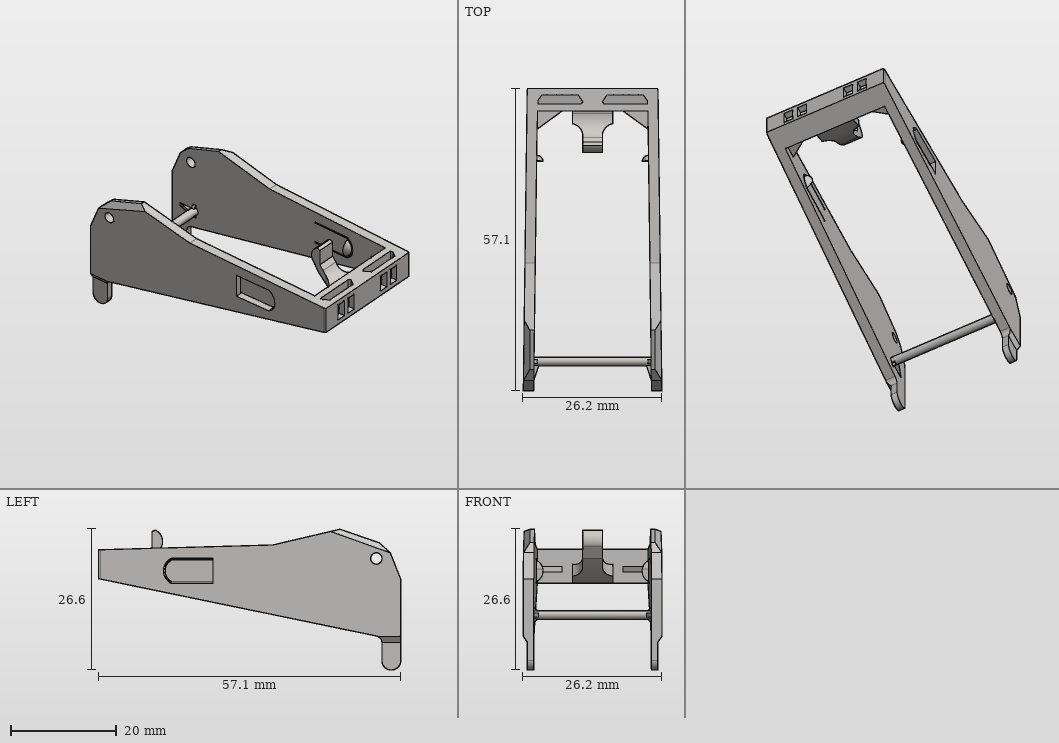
import cadquery as cq
import math


LENGTH = 57.1
FRONT_WIDTH = 26.2
REAR_WIDTH = 24.7
WALL = 2.0
REAR_WALL = 4.3
CORNER_BEVEL_Y = 0.4
CORNER_BEVEL_X = 0.1

TOP_REAR_Z = 22.7
SHOULDER = (24.15, 23.65)
PEAK = (11.5, 26.6)
BROW = (4.05, 24.05)
CHEEK = (2.0, 22.15)
CHIN = (0.0, 17.2)
BOTTOM_REAR_Z = 17.25
ARM_BOTTOM_Z = 6.4
ARM_BOTTOM_Y = 4.5

FOOT_DEPTH = 3.6
FOOT_ANKLE_Z = 5.25
FOOT_OUTER_X = 12.35
HEEL_ARC_MID = (3.9, 6.0)

BEVEL_EDGE_X = 11.8
BEVEL_WIDTH = 1.15
BEVEL_DROP = 1.0
BEVEL_WEDGE_SCALE = 3

HOLE_DIAMETER = 2.1
HOLE_Y = 4.6
HOLE_Z = 21.05

WINDOW_FRONT_Y = 35.45
WINDOW_ARC_Y = 43.3
WINDOW_TIP_Y = 44.75
WINDOW_Z = 18.75
WINDOW_HEIGHT = 4.75
TONGUE_GAP = 0.255
TONGUE_THICKNESS = 0.8
BUMP_HALF_HEIGHT = 2.0
BUMP_REACH = 1.2
BUMP_RIDGE_RISE = 0.4
BUMP_FACE_TILT = 8.0

POCKET_FRONT_Y = 54.2
POCKET_REAR_Y = 55.85
POCKET_OUTLINE = [
    (2.15, POCKET_FRONT_Y),
    (10.35, POCKET_FRONT_Y),
    (10.35, 54.75),
    (9.6, POCKET_REAR_Y),
    (2.7, POCKET_REAR_Y),
    (1.8, 54.55),
]
POCKET_FLOOR = 1.0
PORT_WIDTH = 1.8
PORT_PITCH = 2.9
PORT_CENTRE_X = 6.3
PORT_BOTTOM_Z = 18.3
PORT_TOP_Z = 21.65

HOOK_BASE_HALF_WIDTH = 3.8
HOOK_TIP_HALF_WIDTH = 1.9
HOOK_NECK_RADIUS = 2.4
HOOK_NECK_Y = 48.5
HOOK_BASE_Y = 50.4

HOOK_BELLY_MID = (50.5, 17.7)
HOOK_BELLY_END = (46.65, 21.05)
HOOK_NOSE_START = (45.1, 23.4)
HOOK_NOSE_MID = (45.05, 24.95)
HOOK_APEX = (46.3, 26.45)
HOOK_BACK_TOP = (47.0, 26.15)
HOOK_BACK_BOTTOM = (47.0, 22.9)
HOOK_HOLLOW_START = (47.8, 21.9)
HOOK_HOLLOW_MID = (50.5, 19.85)
HOOK_HOLLOW_END = (52.35, 19.7)
HOOK_FILLET_MID = (52.7, 19.8)
HOOK_WALL_TOP_Z = 20.05

ROD_DIAMETER = 1.7
ROD_Y = 5.55
ROD_Z = 10.4
RIB_THICKNESS = 0.7
FRONT_RIB_REACH = 0.85
FRONT_RIB_TIP_Y = 1.95
SIDE_RIB_SIZE = 0.55

GUSSET_BOTTOM_Z = 18.55
GUSSET_THICKNESS = 0.95
GUSSET_X_LEG = 4.7
GUSSET_Y_LEG = 3.4

OVERSIZE = 34.25
OVERLAP = 0.55

SIDES = (-1, 1)
TAPER = (FRONT_WIDTH - REAR_WIDTH) / 2 / LENGTH
BOTTOM_SLOPE = (BOTTOM_REAR_Z - ARM_BOTTOM_Z) / (LENGTH - ARM_BOTTOM_Y)
REAR_FACE_Y = LENGTH - REAR_WALL


def outer_x(y):
    return FRONT_WIDTH / 2 - TAPER * y


def inner_x(y):
    return outer_x(y) - WALL


def bottom_z(y):
    return ARM_BOTTOM_Z + BOTTOM_SLOPE * (y - ARM_BOTTOM_Y)


def mirrored(shape):
    return shape.mirror("YZ")


def prism_x(outline, x_from, x_to):
    """Extrude a closed (Y, Z) outline along X."""
    return outline.extrude(x_to - x_from).translate((x_from, 0, 0))


def plan_ring():
    bevel_y = LENGTH - CORNER_BEVEL_Y
    half = [
        (inner_x(REAR_FACE_Y), REAR_FACE_Y),
        (inner_x(0), 0),
        (outer_x(0), 0),
        (outer_x(bevel_y), bevel_y),
        (outer_x(LENGTH) - CORNER_BEVEL_X, LENGTH),
    ]
    other_half = [(-x, y) for x, y in reversed(half)]
    return cq.Workplane("XY").polyline(half + other_half).close().extrude(OVERSIZE)


def side_silhouette():
    foot_radius = FOOT_DEPTH / 2
    outline = (
        cq.Workplane("YZ")
        .moveTo(LENGTH, BOTTOM_REAR_Z)
        .lineTo(LENGTH, TOP_REAR_Z)
        .lineTo(*SHOULDER)
        .lineTo(*PEAK)
        .lineTo(*BROW)
        .lineTo(*CHEEK)
        .lineTo(*CHIN)
        .lineTo(0, foot_radius)
        .threePointArc((foot_radius, 0), (FOOT_DEPTH, foot_radius))
        .lineTo(FOOT_DEPTH, FOOT_ANKLE_Z)
        .threePointArc(HEEL_ARC_MID, (ARM_BOTTOM_Y, ARM_BOTTOM_Z))
        .close()
    )
    return prism_x(outline, -OVERSIZE, OVERSIZE)


def foot_relief():
    """Material outside the right foot, ending upwards in a slope."""
    points = [
        (OVERSIZE, ARM_BOTTOM_Z),
        (outer_x(0), ARM_BOTTOM_Z),
        (FOOT_OUTER_X, FOOT_ANKLE_Z),
        (FOOT_OUTER_X, -OVERLAP),
        (OVERSIZE, -OVERLAP),
    ]
    return cq.Workplane("XZ").polyline(points).close().extrude(-ARM_BOTTOM_Y - OVERLAP)


def top_bevel():
    """Wedge along the line from brow to peak that bevels the right arm's outer edge."""
    along = cq.Vector(0, BROW[0] - PEAK[0], BROW[1] - PEAK[1])
    plane = cq.Plane(origin=(BEVEL_EDGE_X, *BROW), xDir=(1, 0, 0), normal=along)
    reach_x = BEVEL_WEDGE_SCALE * BEVEL_WIDTH
    reach_z = BEVEL_WEDGE_SCALE * BEVEL_DROP
    points = [(-reach_x, reach_z), (reach_x, -reach_z), (reach_x, reach_z)]
    return cq.Workplane(plane).polyline(points).close().extrude(OVERSIZE, both=True)


def tongue_outline(gap):
    half_height = WINDOW_HEIGHT / 2 - gap
    return (
        cq.Workplane("YZ")
        .moveTo(WINDOW_FRONT_Y, WINDOW_Z - half_height)
        .lineTo(WINDOW_ARC_Y, WINDOW_Z - half_height)
        .threePointArc((WINDOW_TIP_Y - gap, WINDOW_Z), (WINDOW_ARC_Y, WINDOW_Z + half_height))
        .lineTo(WINDOW_FRONT_Y, WINDOW_Z + half_height)
        .close()
    )


def tongue_recess():
    """Window in the right arm, cut from outside down to the tongue's outer face."""
    y_ends = (WINDOW_FRONT_Y - OVERLAP, WINDOW_TIP_Y + OVERLAP)
    inner_edge = [(inner_x(y) + TONGUE_THICKNESS, y) for y in y_ends]
    outer_edge = [(OVERSIZE, y) for y in reversed(y_ends)]
    outside = cq.Workplane("XY").polyline(inner_edge + outer_edge).close().extrude(OVERSIZE)
    return prism_x(tongue_outline(0), 0, OVERSIZE).intersect(outside)


def tongue_slot():
    """Narrow slot through the right arm, around the tongue's free sides."""
    tongue = prism_x(tongue_outline(TONGUE_GAP), 0, OVERSIZE)
    return prism_x(tongue_outline(0), 0, OVERSIZE).cut(tongue)


def latch_bump():
    """Lens-shaped bump on the right tongue: an arc segment swept about its chord, flat in front.

    Above the ridge the flat front leans back towards +Y.
    """
    lens = (
        cq.Workplane("XZ")
        .moveTo(0, -BUMP_HALF_HEIGHT)
        .threePointArc((-BUMP_REACH, 0), (0, BUMP_HALF_HEIGHT))
        .close()
        .revolve(360, (0, 0, 0), (0, 1, 0))
    )
    face = (
        cq.Workplane("YZ")
        .moveTo(0, -OVERSIZE)
        .lineTo(0, BUMP_RIDGE_RISE)
        .lineTo(OVERSIZE * math.tan(math.radians(BUMP_FACE_TILT)), BUMP_RIDGE_RISE + OVERSIZE)
        .lineTo(OVERSIZE, OVERSIZE)
        .lineTo(OVERSIZE, -OVERSIZE)
        .close()
    )
    bump = lens.intersect(prism_x(face, -OVERSIZE, TONGUE_THICKNESS / 2))
    return bump.translate((inner_x(WINDOW_ARC_Y), WINDOW_ARC_Y, WINDOW_Z))


def pocket():
    """Right pocket, open at the top, with a floor parallel to the underside."""
    column = cq.Workplane("XY").polyline(POCKET_OUTLINE).close().extrude(OVERSIZE)
    above_floor = (
        cq.Workplane("YZ")
        .moveTo(REAR_FACE_Y, bottom_z(REAR_FACE_Y) + POCKET_FLOOR)
        .lineTo(LENGTH, bottom_z(LENGTH) + POCKET_FLOOR)
        .lineTo(LENGTH, OVERSIZE)
        .lineTo(REAR_FACE_Y, OVERSIZE)
        .close()
    )
    return column.intersect(prism_x(above_floor, 0, OVERSIZE))


def ports():
    """Two openings from the right pocket through the rear face."""
    depth = LENGTH - POCKET_REAR_Y + 2 * OVERLAP
    centre_z = (PORT_BOTTOM_Z + PORT_TOP_Z) / 2
    return (
        cq.Workplane("XZ", origin=(PORT_CENTRE_X, POCKET_REAR_Y - OVERLAP, centre_z))
        .rarray(PORT_PITCH, 0.55, 2, 1)
        .rect(PORT_WIDTH, PORT_TOP_Z - PORT_BOTTOM_Z)
        .extrude(-depth)
    )


def hook():
    wall_bottom_z = bottom_z(REAR_FACE_Y)
    root_y = REAR_FACE_Y + OVERLAP
    profile = (
        cq.Workplane("YZ")
        .moveTo(root_y, HOOK_WALL_TOP_Z)
        .lineTo(root_y, bottom_z(root_y))
        .lineTo(REAR_FACE_Y, wall_bottom_z)
        .threePointArc(HOOK_BELLY_MID, HOOK_BELLY_END)
        .lineTo(*HOOK_NOSE_START)
        .threePointArc(HOOK_NOSE_MID, HOOK_APEX)
        .lineTo(*HOOK_BACK_TOP)
        .lineTo(*HOOK_BACK_BOTTOM)
        .lineTo(*HOOK_HOLLOW_START)
        .threePointArc(HOOK_HOLLOW_MID, HOOK_HOLLOW_END)
        .threePointArc(HOOK_FILLET_MID, (REAR_FACE_Y, HOOK_WALL_TOP_Z))
        .close()
    )
    strip = prism_x(profile, -HOOK_BASE_HALF_WIDTH, HOOK_BASE_HALF_WIDTH)
    neck_cut = (
        cq.Workplane("XY")
        .moveTo(HOOK_TIP_HALF_WIDTH, 0)
        .lineTo(HOOK_TIP_HALF_WIDTH, HOOK_NECK_Y)
        .radiusArc((HOOK_BASE_HALF_WIDTH, HOOK_BASE_Y), HOOK_NECK_RADIUS)
        .lineTo(OVERSIZE, HOOK_BASE_Y)
        .lineTo(OVERSIZE, 0)
        .close()
        .extrude(OVERSIZE)
    )
    return strip.cut(neck_cut).cut(mirrored(neck_cut))


def make_frame():
    frame = plan_ring().intersect(side_silhouette())
    for cutter in (foot_relief(), top_bevel(), tongue_recess(), tongue_slot(), pocket(), ports()):
        frame = frame.cut(cutter).cut(mirrored(cutter))
    holes = cq.Workplane("YZ").center(HOLE_Y, HOLE_Z).circle(HOLE_DIAMETER / 2)
    frame = frame.cut(prism_x(holes, -OVERSIZE, OVERSIZE))
    bump = latch_bump()
    return frame.union(bump).union(mirrored(bump)).union(hook())


def make_rod():
    rod = prism_x(cq.Workplane("YZ").center(ROD_Y, ROD_Z).circle(ROD_DIAMETER / 2), -OVERSIZE, OVERSIZE)
    wall_x = inner_x(ROD_Y)
    radius = ROD_DIAMETER / 2
    front_rib = (
        cq.Workplane("XY", origin=(0, 0, ROD_Z - RIB_THICKNESS / 2))
        .moveTo(wall_x + OVERLAP, ROD_Y)
        .lineTo(wall_x - FRONT_RIB_REACH, ROD_Y)
        .lineTo(wall_x - FRONT_RIB_REACH, ROD_Y - radius)
        .lineTo(inner_x(FRONT_RIB_TIP_Y), FRONT_RIB_TIP_Y)
        .lineTo(wall_x + OVERLAP, FRONT_RIB_TIP_Y)
        .close()
        .extrude(RIB_THICKNESS)
    )
    height = radius + SIDE_RIB_SIZE
    outline = [(OVERLAP, height), (0, height), (-height, 0), (0, -height), (OVERLAP, -height)]
    side_ribs = (
        cq.Workplane("XZ", origin=(wall_x, ROD_Y + RIB_THICKNESS / 2, ROD_Z))
        .polyline(outline)
        .close()
        .extrude(RIB_THICKNESS)
    )
    ribs = front_rib.union(side_ribs)
    rod = rod.union(ribs).union(mirrored(ribs))
    span = [(inner_x(0), 0), (inner_x(REAR_FACE_Y), REAR_FACE_Y)]
    between_arms = span + [(-x, y) for x, y in reversed(span)]
    return rod.intersect(cq.Workplane("XY").polyline(between_arms).close().extrude(OVERSIZE))


def make_gusset(side):
    corner_x = inner_x(REAR_FACE_Y)
    points = [
        (side * corner_x, REAR_FACE_Y),
        (side * (corner_x - GUSSET_X_LEG), REAR_FACE_Y),
        (side * corner_x, REAR_FACE_Y - GUSSET_Y_LEG),
    ]
    plane = cq.Workplane("XY", origin=(0, 0, GUSSET_BOTTOM_Z))
    return plane.polyline(points).close().extrude(GUSSET_THICKNESS)


frame = make_frame()
rod = make_rod()
gussets = [make_gusset(side) for side in SIDES]

result = cq.Compound.makeCompound([frame.val(), rod.val(), *[gusset.val() for gusset in gussets]])